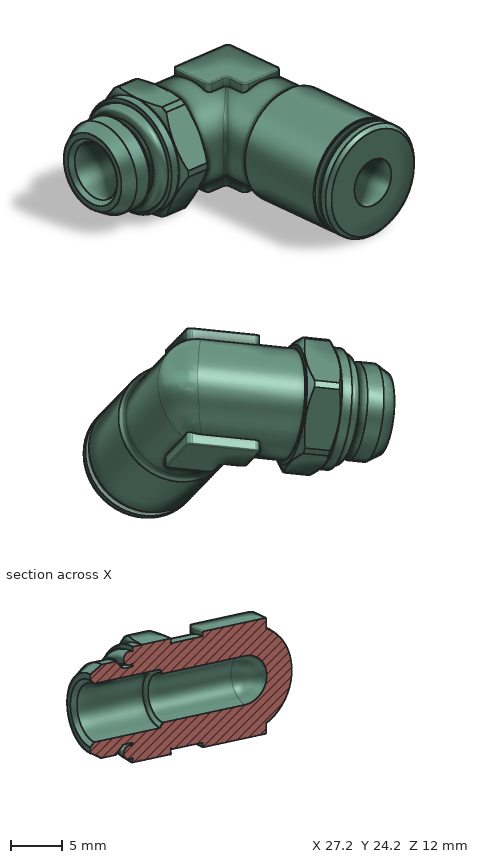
import cadquery as cq
import math


body_radius = 11.0 / 2
bend_arm_length = 7.08
outer_bend_radius = 3.05
inner_bend_radius = 0.33
bend_half_height = 5.31
stem_body_end_y = -8.7
stem_body_chamfer = 0.1

sleeve_radius = 12 / 2
sleeve_foot_x = 8.25
sleeve_end_x = 18.5
sleeve_edge_chamfer = 0.1
sleeve_foot_radius = 0.55
neck_radius = 8.9 / 2
neck_fillet = 0.22
collar_start_x = 19.43
collar_end_x = 20.52
collar_chamfer = 0.4

edge_margin = 0.03

hex_flats = 12.0
hex_corner_radius = 6.73
hex_end_y = -12.24
hex_bevel_radius = 5.89
hex_bevel_angle = 30
washer_radius = hex_flats / 2
washer_end_y = -13.25
ring_center_radius = 4.85
ring_section_radius = 0.74
ring_y = -13.57

stud_neck_radius = 7.9 / 2
thread_radius = 9.7 / 2
thread_start_y = -15.2
thread_end_y = -16.87
tip_radius = 8.15 / 2
tip_y = -18.2

bore_radius = 5.0 / 2
counterbore_radius = 6 / 2
counterbore_depth = 8.18
drill_point_half_angle = 60
mouth_chamfer = 0.45

pad_near = 2.48
pad_far = 5.01
pad_top_z = sleeve_radius
pad_base_z = 3.27
pad_corner_radius = 0.5
pad_edge_radius = 0.14


def cylinder_x(radius, start, end):
    return cq.Workplane("YZ", origin=(start, 0, 0)).circle(radius).extrude(end - start)


def cylinder_y(radius, start, end):
    """Cylinder running from start down to end in the -Y direction."""
    return cq.Workplane("XZ", origin=(0, start, 0)).circle(radius).extrude(start - end)


def make_bend():
    """Mitred corner with its outer and inner mitre edges rounded, flat where the pads cover it."""
    corners = [
        (-body_radius, body_radius),
        (bend_arm_length, body_radius),
        (bend_arm_length, -bend_arm_length),
    ]
    tube_side = (
        cq.Workplane("XY")
        .polyline(corners)
        .close()
        .extrude(body_radius, both=True)
    )
    tube_arm = cylinder_x(body_radius, -body_radius, bend_arm_length).intersect(tube_side)
    stem_arm = cylinder_y(body_radius, body_radius, -bend_arm_length).cut(tube_side)
    slab = cq.Workplane("XY").box(4 * body_radius, 4 * body_radius, 2 * bend_half_height)
    bend = tube_arm.union(stem_arm).intersect(slab)
    outer_edges = cq.selectors.BoxSelector(
        (-body_radius, 0, -body_radius), (0, body_radius, body_radius)
    )
    inner_edges = cq.selectors.BoxSelector(
        (0, -body_radius, -body_radius), (body_radius, 0, body_radius)
    )
    bend = bend.edges("%ELLIPSE").edges(outer_edges).fillet(outer_bend_radius)
    return bend.edges("%ELLIPSE").edges(inner_edges).fillet(inner_bend_radius)


def round_edges_between(start_x, end_x):
    """Selector for edges circling the X axis from start_x to end_x."""
    return cq.selectors.BoxSelector(
        (start_x - edge_margin, -sleeve_radius, -sleeve_radius),
        (end_x + edge_margin, sleeve_radius, sleeve_radius),
    )


def make_tube_end():
    """Body arm, sleeve, neck and release collar, turned about the X axis."""
    foot_rise = sleeve_radius - body_radius
    turned = (
        cq.Workplane("XY")
        .moveTo(0, 0)
        .lineTo(0, body_radius)
        .lineTo(sleeve_foot_x, body_radius)
        .lineTo(sleeve_foot_x + foot_rise, sleeve_radius)
        .lineTo(sleeve_end_x - sleeve_edge_chamfer, sleeve_radius)
        .lineTo(sleeve_end_x, sleeve_radius - sleeve_edge_chamfer)
        .lineTo(sleeve_end_x, neck_radius)
        .lineTo(collar_start_x, neck_radius)
        .lineTo(collar_start_x, sleeve_radius)
        .lineTo(collar_end_x - collar_chamfer, sleeve_radius)
        .lineTo(collar_end_x, sleeve_radius - collar_chamfer)
        .lineTo(collar_end_x, 0)
        .close()
        .revolve(360, (0, 0, 0), (1, 0, 0))
    )
    foot_edge = round_edges_between(sleeve_foot_x, sleeve_foot_x)
    turned = turned.edges("%CIRCLE").edges(foot_edge).fillet(sleeve_foot_radius)
    neck_edges = turned.edges("%CIRCLE").edges(round_edges_between(sleeve_end_x, collar_start_x))
    return neck_edges.edges(cq.selectors.RadiusNthSelector(0)).fillet(neck_fillet)


def make_hex_nut():
    """Hexagon with rounded corners and both faces bevelled, flats facing up and down."""
    bevel_drop = (hex_corner_radius - hex_bevel_radius) * math.tan(math.radians(hex_bevel_angle))
    hex_corner_to_corner = hex_flats / math.cos(math.pi / 6)
    prism = (
        cq.Workplane("XZ", origin=(0, stem_body_end_y, 0))
        .polygon(6, hex_corner_to_corner)
        .extrude(stem_body_end_y - hex_end_y)
    )
    bevelled_round = (
        cq.Workplane("XY")
        .moveTo(0, stem_body_end_y)
        .lineTo(hex_bevel_radius, stem_body_end_y)
        .lineTo(hex_corner_radius, stem_body_end_y - bevel_drop)
        .lineTo(hex_corner_radius, hex_end_y + bevel_drop)
        .lineTo(hex_bevel_radius, hex_end_y)
        .lineTo(0, hex_end_y)
        .close()
        .revolve(360, (0, 0, 0), (0, 1, 0))
    )
    return prism.intersect(bevelled_round)


def make_sealing_ring():
    """O-ring under the washer; the part of its section inside the washer merges with it."""
    return (
        cq.Workplane("XY")
        .center(-ring_center_radius, ring_y)
        .circle(ring_section_radius)
        .revolve(360, (ring_center_radius, 0, 0), (ring_center_radius, 1, 0))
    )


def make_threaded_end():
    """Plain thread cylinder with a cone up to the stud neck and a tapered tip."""
    shoulder_y = thread_start_y + thread_radius - stud_neck_radius
    return (
        cq.Workplane("XY")
        .moveTo(0, hex_end_y)
        .lineTo(stud_neck_radius, hex_end_y)
        .lineTo(stud_neck_radius, shoulder_y)
        .lineTo(thread_radius, thread_start_y)
        .lineTo(thread_radius, thread_end_y)
        .lineTo(tip_radius, tip_y)
        .lineTo(0, tip_y)
        .close()
        .revolve(360, (0, 0, 0), (0, 1, 0))
    )


def make_stem():
    body_arm = cylinder_y(body_radius, 0, stem_body_end_y).faces("<Y").chamfer(stem_body_chamfer)
    washer = cylinder_y(washer_radius, hex_end_y, washer_end_y)
    return (
        body_arm.union(make_hex_nut())
        .union(washer)
        .union(make_sealing_ring())
        .union(make_threaded_end())
    )


def make_pads():
    """L-shaped plates above and below the bend, notched at its inner corner."""
    outline = [
        (-pad_near, pad_near),
        (pad_far, pad_near),
        (pad_far, -pad_near),
        (pad_near, -pad_near),
        (pad_near, -pad_far),
        (-pad_near, -pad_far),
    ]
    upper = (
        cq.Workplane("XY", origin=(0, 0, pad_base_z))
        .polyline(outline)
        .close()
        .extrude(pad_top_z - pad_base_z)
        .edges("|Z")
        .fillet(pad_corner_radius)
        .faces(">Z")
        .edges()
        .fillet(pad_edge_radius)
    )
    return upper.union(upper.mirror("XY"))


def make_passage():
    """Counterbored stem bore meeting the tube bore in a spherical corner."""
    counterbore_end_y = tip_y + counterbore_depth
    drill_point = (counterbore_radius - bore_radius) / math.tan(math.radians(drill_point_half_angle))
    stem_bore = (
        cq.Workplane("XY")
        .moveTo(0, 0)
        .lineTo(bore_radius, 0)
        .lineTo(bore_radius, counterbore_end_y + drill_point)
        .lineTo(counterbore_radius, counterbore_end_y)
        .lineTo(counterbore_radius, tip_y + mouth_chamfer)
        .lineTo(counterbore_radius + mouth_chamfer, tip_y)
        .lineTo(0, tip_y)
        .close()
        .revolve(360, (0, 0, 0), (0, 1, 0))
    )
    tube_bore = cylinder_x(bore_radius, 0, collar_end_x)
    corner = cq.Workplane("XY").sphere(bore_radius)
    return stem_bore.union(tube_bore).union(corner)


result = (
    make_bend()
    .union(make_tube_end())
    .union(make_stem())
    .union(make_pads())
    .cut(make_passage())
)